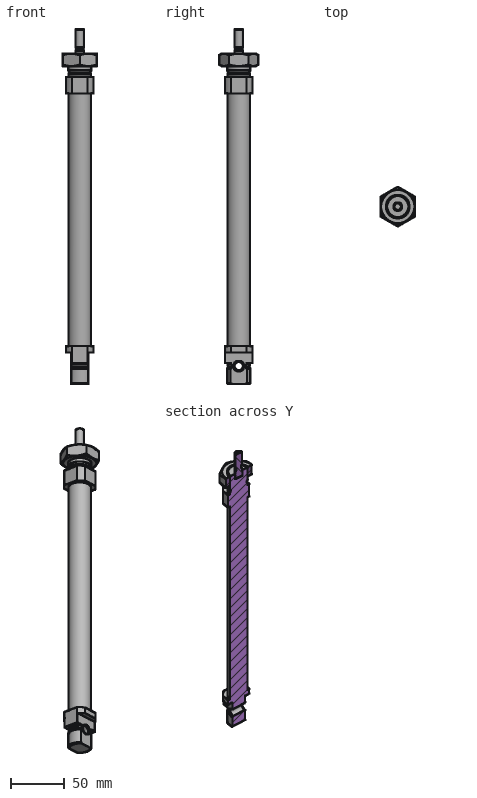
import cadquery as cq
import math

TOTAL_LENGTH = 332.0

ROD_DIA = 8.0
ROD_NECK_DIA = 6.3
ROD_CHAMFER = 0.83
ROD_SHOULDER_Z = 315.0
ROD_NECK_BOTTOM_Z = 312.5
ROD_BORE_DEPTH = 6.5

NUT_FLATS = 32.0
NUT_BOTTOM_Z = 297.0
NUT_HEIGHT = 12.0
NUT_TOP_Z = NUT_BOTTOM_Z + NUT_HEIGHT
NUT_FACE_DIA = 31.2
NUT_CHAMFER_ANGLE = 30

THREAD_DIA = 22.0
GROOVE_DIA = 19.5
LAND_DIA = 21.2
END_CHAMFER = 1.0
GROOVE_TAPER = 2.0

BARREL_DIA = 21.2
CAP_WIDTH = 26.0
CAP_CORNER_DIA = 30.0
FRONT_CAP_BOTTOM_Z = 272.0
FRONT_CAP_TOP_Z = 287.2
FRONT_GROOVE_Z = 291.5
REAR_CAP_BOTTOM_Z = 19.5
REAR_CAP_TOP_Z = 35.5
REAR_GROOVE_Z = 16.3

TONGUE_WIDTH = 16.0
TONGUE_TOP_Z = 29.5
PIVOT_DIA = 8.0
PIVOT_Z = 17.0
PIVOT_CHAMFER = 1.0


def cylinder(diameter, bottom, top):
    return cq.Workplane("XY").workplane(offset=bottom).circle(diameter / 2).extrude(top - bottom)


def revolved(points):
    """Turn a closed (radius, z) outline about the Z axis."""
    return cq.Workplane("XZ").polyline(points).close().revolve(360, (0, 0), (0, 1))


def cap(bottom, top):
    height = top - bottom
    square = cq.Workplane("XY").workplane(offset=bottom).rect(CAP_WIDTH, CAP_WIDTH).extrude(height)
    return square.intersect(cylinder(CAP_CORNER_DIA, bottom, top))


def threaded_neck(end, groove_z, cap_face):
    """Neck from its chamfered end to the cap, with a V groove and a land."""
    inward = math.copysign(1, cap_face - end)
    thread_radius = THREAD_DIA / 2
    groove_radius = GROOVE_DIA / 2
    land_radius = LAND_DIA / 2
    return revolved([
        (0, end),
        (thread_radius - END_CHAMFER, end),
        (thread_radius, end + inward * END_CHAMFER),
        (thread_radius, groove_z - inward * GROOVE_TAPER),
        (groove_radius, groove_z),
        (land_radius, groove_z + inward * GROOVE_TAPER),
        (land_radius, cap_face),
        (0, cap_face),
    ])


def tongue_cutters():
    """Blocks that remove both X sides below the rear cap's flange."""
    cutters = cq.Workplane("XY")
    for side in (-1, 1):
        center = side * (TONGUE_WIDTH + CAP_WIDTH) / 2
        block = cq.Workplane("XY").center(center, 0).rect(CAP_WIDTH, 2 * CAP_WIDTH).extrude(TONGUE_TOP_Z)
        cutters = cutters.add(block)
    return cutters.combine()


def pivot_hole():
    """Cross hole along X, countersunk where it meets both tongue faces."""
    half_width = TONGUE_WIDTH / 2
    radius = PIVOT_DIA / 2
    mouth_radius = radius + PIVOT_CHAMFER
    throat = half_width - PIVOT_CHAMFER
    outline = [
        (-half_width, 0),
        (-half_width, mouth_radius),
        (-throat, radius),
        (throat, radius),
        (half_width, mouth_radius),
        (half_width, 0),
    ]
    hole = cq.Workplane("XY").polyline(outline).close().revolve(360, (0, 0), (1, 0))
    return hole.translate((0, 0, PIVOT_Z))


def make_housing():
    body = cylinder(BARREL_DIA, REAR_CAP_TOP_Z, FRONT_CAP_BOTTOM_Z)
    body = body.union(cap(FRONT_CAP_BOTTOM_Z, FRONT_CAP_TOP_Z))
    body = body.union(threaded_neck(NUT_TOP_Z, FRONT_GROOVE_Z, FRONT_CAP_TOP_Z))
    body = body.union(cap(REAR_CAP_BOTTOM_Z, REAR_CAP_TOP_Z))
    body = body.union(threaded_neck(0, REAR_GROOVE_Z, REAR_CAP_BOTTOM_Z))
    body = body.cut(tongue_cutters()).cut(pivot_hole())
    return body.cut(cylinder(ROD_DIA, NUT_TOP_Z - ROD_BORE_DEPTH, NUT_TOP_Z))


def make_rod():
    radius = ROD_DIA / 2
    neck_radius = ROD_NECK_DIA / 2
    taper = radius - neck_radius
    bottom = NUT_TOP_Z - ROD_BORE_DEPTH
    return revolved([
        (0, bottom),
        (radius, bottom),
        (radius, ROD_NECK_BOTTOM_Z - taper),
        (neck_radius, ROD_NECK_BOTTOM_Z),
        (neck_radius, ROD_SHOULDER_Z - taper),
        (radius, ROD_SHOULDER_Z),
        (radius, TOTAL_LENGTH - ROD_CHAMFER),
        (radius - ROD_CHAMFER, TOTAL_LENGTH),
        (0, TOTAL_LENGTH),
    ])


def make_nut():
    corner_dia = NUT_FLATS / math.cos(math.radians(30))
    base = cq.Workplane("XY").workplane(offset=NUT_BOTTOM_Z)
    hexagon = base.polygon(6, corner_dia).extrude(NUT_HEIGHT).rotate((0, 0, 0), (0, 0, 1), 30)
    face_radius = NUT_FACE_DIA / 2
    rim_radius = corner_dia / 2
    drop = (rim_radius - face_radius) * math.tan(math.radians(NUT_CHAMFER_ANGLE))
    envelope = revolved([
        (0, NUT_BOTTOM_Z),
        (face_radius, NUT_BOTTOM_Z),
        (rim_radius, NUT_BOTTOM_Z + drop),
        (rim_radius, NUT_TOP_Z - drop),
        (face_radius, NUT_TOP_Z),
        (0, NUT_TOP_Z),
    ])
    return hexagon.intersect(envelope).cut(cylinder(THREAD_DIA, NUT_BOTTOM_Z, NUT_TOP_Z))


housing = make_housing()
rod = make_rod()
nut = make_nut()

result = cq.Compound.makeCompound([housing.val(), rod.val(), nut.val()])